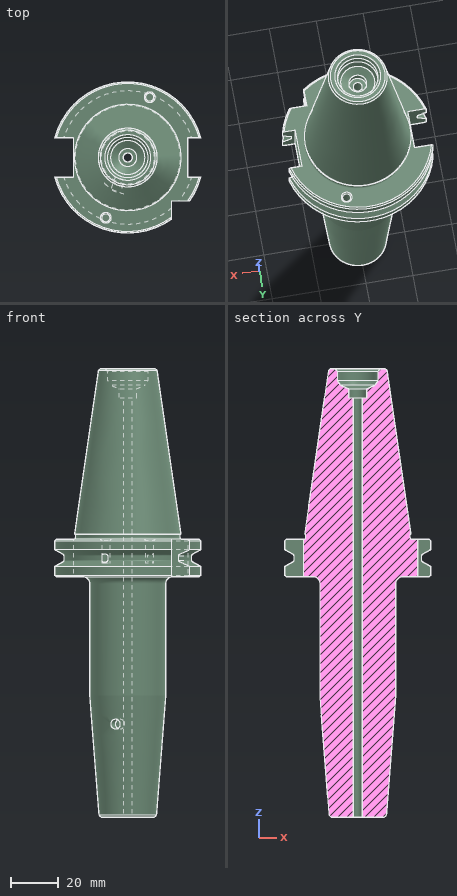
import cadquery as cq
import math


TAPER_TOP = 68.4
GAUGE_RADIUS = 22.2
TAPER_SLOPE = 7 / 48
TAPER_CHAMFER = 0.8

RELIEF_TOP = -1.0
RELIEF_DEPTH = 0.4
RELIEF_FILLET = 0.8

FLANGE_TOP = -3.2
FLANGE_HEIGHT = 15.8
FLANGE_DIAMETER = 63.5
FLANGE_RADIUS = FLANGE_DIAMETER / 2
FLANGE_CHAMFER = 0.65
FLANGE_BOTTOM = FLANGE_TOP - FLANGE_HEIGHT

GROOVE_Z = -11.1
GROOVE_MOUTH = 7.0
GROOVE_RADIUS = 28.0
GROOVE_FLANK_ANGLE = math.radians(30)
GROOVE_FILLET = 0.8

SLOT_WIDTH = 16.4
LEFT_SLOT_FLOOR = 22.8
RIGHT_SLOT_FLOOR = 25.2
NOTCH_X = 18.5
NOTCH_Y = 18.3

TOTAL_HEIGHT = 188.4
NOSE_BOTTOM = TAPER_TOP - TOTAL_HEIGHT
SHANK_RADIUS = 16.0
SHANK_FILLET = 2.8
NOSE_LENGTH = 51.0
NOSE_TIP_RADIUS = 12.0
NOSE_CHAMFER = 1.0

MOUTH_RADIUS = 9.6
PILOT_RADIUS = 8.5
PILOT_DEPTH = 5.0
LEAD_RADIUS = 7.2
LEAD_LENGTH = 1.9
WELL_RADIUS = 3.8
WELL_CONE_ANGLE = math.radians(66)
WELL_LENGTH = 3.8
THROUGH_RADIUS = 1.9

HOLE_DIRECTION = 250
FLANGE_HOLE_RADIUS = 1.7
FLANGE_HOLE_CHAMFER = 0.5
FLANGE_HOLE_CIRCLE = 27.0
FLANGE_HOLE_DEPTH = 10.0
NOSE_HOLE_RADIUS = 2.0
NOSE_HOLE_HEIGHT = 39.2
NOSE_HOLE_FLOOR = 9.5


def taper_radius(z):
    return GAUGE_RADIUS - TAPER_SLOPE * z


def arc_midpoint_offset(radius):
    """Distance from each wall of a square corner to the middle of its fillet."""
    return radius * (1 - math.sqrt(0.5))


def make_body():
    relief_radius = taper_radius(RELIEF_TOP) - RELIEF_DEPTH
    flank_height = (FLANGE_RADIUS - GROOVE_RADIUS) * math.tan(GROOVE_FLANK_ANGLE)
    half_mouth = GROOVE_MOUTH / 2
    half_floor = half_mouth - flank_height
    rim_face = FLANGE_RADIUS - FLANGE_CHAMFER
    shank_bottom = NOSE_BOTTOM + NOSE_LENGTH
    relief_mid = arc_midpoint_offset(RELIEF_FILLET)
    shank_mid = arc_midpoint_offset(SHANK_FILLET)
    nose_slope = (SHANK_RADIUS - NOSE_TIP_RADIUS) / NOSE_LENGTH

    profile = (
        cq.Workplane("XZ")
        .moveTo(0, TAPER_TOP)
        .lineTo(taper_radius(TAPER_TOP) - TAPER_CHAMFER, TAPER_TOP)
        .lineTo(taper_radius(TAPER_TOP - TAPER_CHAMFER), TAPER_TOP - TAPER_CHAMFER)
        .lineTo(taper_radius(RELIEF_TOP), RELIEF_TOP)
        .lineTo(relief_radius, RELIEF_TOP - RELIEF_DEPTH)
        .lineTo(relief_radius, FLANGE_TOP + RELIEF_FILLET)
        .threePointArc(
            (relief_radius + relief_mid, FLANGE_TOP + relief_mid),
            (relief_radius + RELIEF_FILLET, FLANGE_TOP),
        )
        .lineTo(rim_face, FLANGE_TOP)
        .lineTo(FLANGE_RADIUS, FLANGE_TOP - FLANGE_CHAMFER)
        .lineTo(FLANGE_RADIUS, GROOVE_Z + half_mouth)
        .lineTo(GROOVE_RADIUS, GROOVE_Z + half_floor)
        .lineTo(GROOVE_RADIUS, GROOVE_Z - half_floor)
        .lineTo(FLANGE_RADIUS, GROOVE_Z - half_mouth)
        .lineTo(FLANGE_RADIUS, FLANGE_BOTTOM + FLANGE_CHAMFER)
        .lineTo(rim_face, FLANGE_BOTTOM)
        .lineTo(SHANK_RADIUS + SHANK_FILLET, FLANGE_BOTTOM)
        .threePointArc(
            (SHANK_RADIUS + shank_mid, FLANGE_BOTTOM - shank_mid),
            (SHANK_RADIUS, FLANGE_BOTTOM - SHANK_FILLET),
        )
        .lineTo(SHANK_RADIUS, shank_bottom)
        .lineTo(NOSE_TIP_RADIUS + nose_slope * NOSE_CHAMFER, NOSE_BOTTOM + NOSE_CHAMFER)
        .lineTo(NOSE_TIP_RADIUS - NOSE_CHAMFER, NOSE_BOTTOM)
        .lineTo(0, NOSE_BOTTOM)
        .close()
    )
    body = profile.revolve(360, (0, 0, 0), (0, 1, 0))
    groove_zone = cq.selectors.BoxSelector(
        (-GROOVE_FILLET, -GROOVE_FILLET, GROOVE_Z - half_floor - GROOVE_FILLET),
        (GROOVE_FILLET, GROOVE_FILLET, GROOVE_Z + half_floor + GROOVE_FILLET),
    )
    return body.edges(groove_zone).fillet(GROOVE_FILLET)


def make_bore():
    mouth_chamfer = MOUTH_RADIUS - PILOT_RADIUS
    lead_bottom = TAPER_TOP - PILOT_DEPTH - LEAD_LENGTH
    well_top = lead_bottom - (LEAD_RADIUS - WELL_RADIUS) / math.tan(WELL_CONE_ANGLE)
    well_floor = well_top - WELL_LENGTH

    profile = (
        cq.Workplane("XZ")
        .moveTo(0, TAPER_TOP)
        .lineTo(MOUTH_RADIUS, TAPER_TOP)
        .lineTo(PILOT_RADIUS, TAPER_TOP - mouth_chamfer)
        .lineTo(PILOT_RADIUS, TAPER_TOP - PILOT_DEPTH)
        .lineTo(LEAD_RADIUS, lead_bottom)
        .lineTo(WELL_RADIUS, well_top)
        .lineTo(WELL_RADIUS, well_floor)
        .lineTo(THROUGH_RADIUS, well_floor)
        .lineTo(THROUGH_RADIUS, NOSE_BOTTOM)
        .lineTo(0, NOSE_BOTTOM)
        .close()
    )
    return profile.revolve(360, (0, 0, 0), (0, 1, 0))


def flange_cut(x_start, y_start, x_size, y_size):
    """Block as tall as the flange, growing from one corner."""
    block = cq.Workplane("XY").box(x_size, y_size, FLANGE_HEIGHT, centered=False)
    return block.translate((x_start, y_start, FLANGE_BOTTOM))


def make_flange_cuts():
    reach = FLANGE_RADIUS
    half_slot = SLOT_WIDTH / 2
    left_slot = flange_cut(-LEFT_SLOT_FLOOR - reach, -half_slot, reach, SLOT_WIDTH)
    right_slot = flange_cut(RIGHT_SLOT_FLOOR, -half_slot, reach, SLOT_WIDTH)
    notch = flange_cut(NOTCH_X, -NOTCH_Y - reach, reach, reach)
    return left_slot.union(right_slot).union(notch)


def make_flange_holes():
    """Two opposite blind holes that break out through the floor of the V-groove."""
    centres = cq.Workplane("XY", origin=(0, 0, FLANGE_TOP)).polarArray(
        FLANGE_HOLE_CIRCLE, HOLE_DIRECTION, 360, 2
    )
    holes = centres.circle(FLANGE_HOLE_RADIUS).extrude(-FLANGE_HOLE_DEPTH)
    mouths = centres.circle(FLANGE_HOLE_RADIUS + FLANGE_HOLE_CHAMFER).extrude(
        -FLANGE_HOLE_CHAMFER, taper=45
    )
    return holes.union(mouths)


def make_nose_hole():
    hole = (
        cq.Workplane("YZ", origin=(NOSE_HOLE_FLOOR, 0, NOSE_BOTTOM + NOSE_HOLE_HEIGHT))
        .circle(NOSE_HOLE_RADIUS)
        .extrude(SHANK_RADIUS)
    )
    return hole.rotate((0, 0, 0), (0, 0, 1), HOLE_DIRECTION)


result = (
    make_body()
    .cut(make_bore())
    .cut(make_flange_cuts())
    .cut(make_flange_holes())
    .cut(make_nose_hole())
)